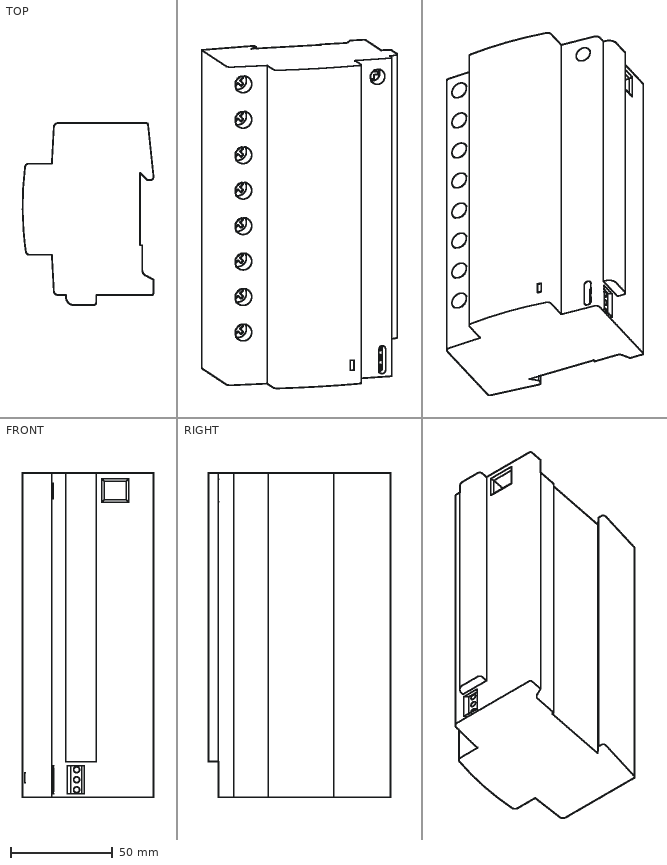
import cadquery as cq
import math


HEIGHT = 160.2
DEPTH = 64.7
SIDE_TOP_Y = 85.0

COVER_LOW_Y = 19.9
COVER_HIGH_Y = 65.0
COVER_CREST_Y = 43.9
COVER_RADIUS = 157.0
COVER_FILLET = 2.1

SHOULDER_X = 14.5
SHOULDER_WIDTH = 2.2
WALL_OUTER_X = 15.5
WALL_FILLET = 2.2

BACK_TOP_X = 62.0
BACK_FILLET = 1.0
HOOK_WIDEST_Y = 59.3
HOOK_TIP_Y = 56.9
HOOK_TIP_X = 61.5
HOOK_FILLET = 1.3
SEAT_X = 58.2
SEAT_TOP_Y = 60.4
SEAT_STEP_X = 59.3
SEAT_STEP_Y = 24.7
FOOT_LEDGE_X = 61.2
FOOT_LEDGE_Y = 9.6
FOOT_TOP_Y = 7.7
FOOT_CURVE_Y = 12.2

RIB_FRONT_X = 21.5
RIB_BACK_X = 36.5
RIB_OUTER_Y = -5.0
RIB_BOTTOM_Z = 17.6
RIB_FRONT_FILLET = 4.0
RIB_BACK_FILLET = 1.6
RIB_OVERLAP = 1.6

SCREW_HOLE_DIAMETER = 8.3
SCREW_HOLE_DEPTH = 9.6
SCREW_TOP_Z = 151.2
SCREW_ROW_SPAN = 125.0
SCREW_ROW_COUNT = 8
SCREW_ROW_Y = 77.0
SINGLE_SCREW_Y = 8.0
SINGLE_SCREW_HOLE_DIAMETER = 7.5
CROSS_LENGTH = 6.0
CROSS_WIDTH = 1.6
CROSS_DEPTH = 1.0

POLE_PITCH = 5.0
POLE_MIDDLE_Z = 8.7
SIGNAL_SLOT_Y = 5.6
SIGNAL_SLOT_LENGTH = 14.0
SIGNAL_SLOT_WIDTH = 3.5
SIGNAL_SLOT_DEPTH = 6.4
SIGNAL_HEAD_DIAMETER = 3.2
SIGNAL_HEAD_DEPTH = 0.6
SIGNAL_CROSS_LENGTH = 2.9
SIGNAL_CROSS_WIDTH = 1.0
POCKET_FRONT_X = 22.1
POCKET_BACK_X = 30.6
POCKET_FLOOR_FRONT_X = 23.9
POCKET_FLOOR_BACK_X = 29.3
POCKET_DEPTH = 1.6
POCKET_HEIGHT = 13.8
WIRE_HOLE_X = 26.8
WIRE_HOLE_DIAMETER = 2.9
WIRE_HOLE_DEPTH = 3.2

OPENING_CENTER_X = 45.8
OPENING_CENTER_Z = 151.5
OPENING_WIDTH = 11.0
OPENING_HEIGHT = 9.3
OPENING_DEPTH = 12.8
OPENING_CHAMFER = 1.1

INDICATOR_Y = 25.2
INDICATOR_Z = 9.6
INDICATOR_WIDTH = 2.0
INDICATOR_HEIGHT = 5.0
INDICATOR_DEPTH = 0.5


def cover_x(y):
    """X of the curved cover surface at a given Y."""
    return COVER_RADIUS - math.sqrt(COVER_RADIUS**2 - (y - COVER_CREST_Y) ** 2)


def round_upright_edges(body, rounds):
    """Round the upright edge through each (x, y) with its own radius."""
    middle_z = body.val().BoundingBox().center.z
    for x, y, radius in rounds:
        edge = cq.selectors.NearestToPointSelector((x, y, middle_z))
        body = body.edges("|Z").edges(edge).fillet(radius)
    return body


def housing():
    low_corner = (cover_x(COVER_LOW_Y), COVER_LOW_Y)
    high_corner = (cover_x(COVER_HIGH_Y), COVER_HIGH_Y)
    body = (
        cq.Workplane("XY")
        .moveTo(*low_corner)
        .threePointArc((0, COVER_CREST_Y), high_corner)
        .lineTo(SHOULDER_X, COVER_HIGH_Y)
        .lineTo(SHOULDER_X, COVER_HIGH_Y + SHOULDER_WIDTH)
        .lineTo(WALL_OUTER_X, SIDE_TOP_Y)
        .lineTo(BACK_TOP_X, SIDE_TOP_Y)
        .lineTo(DEPTH, HOOK_WIDEST_Y)
        .lineTo(DEPTH, HOOK_TIP_Y)
        .lineTo(HOOK_TIP_X, HOOK_TIP_Y)
        .lineTo(SEAT_X, SEAT_TOP_Y)
        .lineTo(SEAT_X, SEAT_STEP_Y)
        .lineTo(SEAT_STEP_X, SEAT_STEP_Y)
        .lineTo(SEAT_STEP_X, FOOT_CURVE_Y)
        .tangentArcPoint((FOOT_LEDGE_X, FOOT_LEDGE_Y), relative=False)
        .lineTo(DEPTH, FOOT_TOP_Y)
        .lineTo(DEPTH, 0)
        .lineTo(WALL_OUTER_X, 0)
        .lineTo(SHOULDER_X, COVER_LOW_Y - SHOULDER_WIDTH)
        .lineTo(SHOULDER_X, COVER_LOW_Y)
        .close()
        .extrude(HEIGHT)
    )
    return round_upright_edges(
        body,
        [
            (*low_corner, COVER_FILLET),
            (*high_corner, COVER_FILLET),
            (WALL_OUTER_X, SIDE_TOP_Y, WALL_FILLET),
            (WALL_OUTER_X, 0, WALL_FILLET),
            (BACK_TOP_X, SIDE_TOP_Y, BACK_FILLET),
            (DEPTH, HOOK_TIP_Y, HOOK_FILLET),
            (DEPTH, 0, BACK_FILLET),
        ],
    )


def rib():
    body = cq.Workplane("XY").box(
        RIB_BACK_X - RIB_FRONT_X, RIB_OVERLAP - RIB_OUTER_Y, HEIGHT - RIB_BOTTOM_Z, centered=False
    )
    body = body.translate((RIB_FRONT_X, RIB_OUTER_Y, RIB_BOTTOM_Z))
    return round_upright_edges(
        body,
        [
            (RIB_FRONT_X, RIB_OUTER_Y, RIB_FRONT_FILLET),
            (RIB_BACK_X, RIB_OUTER_Y, RIB_BACK_FILLET),
        ],
    )


def cross_recess(x, y, z, length, width, angle=0):
    """Cross-shaped cut going in +X from the floor at x."""
    arm = cq.Workplane("XY").box(CROSS_DEPTH, length, width)
    cross = arm.union(arm.rotate((0, 0, 0), (1, 0, 0), 90))
    cross = cross.rotate((0, 0, 0), (1, 0, 0), angle)
    return cross.translate((x + CROSS_DEPTH / 2, y, z))


def round_hole(x, y, z, diameter, depth):
    """Round cut running in +X, starting at x."""
    return cq.Workplane("YZ", origin=(x, y, z)).circle(diameter / 2).extrude(depth)


def screw_recess(y, z, diameter, cross_angle):
    floor_x = SHOULDER_X + SCREW_HOLE_DEPTH
    hole = round_hole(SHOULDER_X, y, z, diameter, SCREW_HOLE_DEPTH)
    return hole.union(cross_recess(floor_x, y, z, CROSS_LENGTH, CROSS_WIDTH, cross_angle))


def signal_screw_slot():
    slot = (
        cq.Workplane("YZ", origin=(SHOULDER_X, SIGNAL_SLOT_Y, POLE_MIDDLE_Z))
        .slot2D(SIGNAL_SLOT_LENGTH, SIGNAL_SLOT_WIDTH, 90)
        .extrude(SIGNAL_SLOT_DEPTH)
    )
    head_x = SHOULDER_X + SIGNAL_SLOT_DEPTH
    cross_x = head_x + SIGNAL_HEAD_DEPTH
    for pole in (-1, 0, 1):
        z = POLE_MIDDLE_Z + pole * POLE_PITCH
        head = round_hole(head_x, SIGNAL_SLOT_Y, z, SIGNAL_HEAD_DIAMETER, SIGNAL_HEAD_DEPTH)
        cross = cross_recess(cross_x, SIGNAL_SLOT_Y, z, SIGNAL_CROSS_LENGTH, SIGNAL_CROSS_WIDTH)
        slot = slot.union(head).union(cross)
    return slot


def wire_pocket():
    pocket = (
        cq.Workplane("XY", origin=(0, 0, POLE_MIDDLE_Z - POCKET_HEIGHT / 2))
        .moveTo(POCKET_FRONT_X, 0)
        .lineTo(POCKET_FLOOR_FRONT_X, POCKET_DEPTH)
        .lineTo(POCKET_FLOOR_BACK_X, POCKET_DEPTH)
        .lineTo(POCKET_BACK_X, 0)
        .close()
        .extrude(POCKET_HEIGHT)
    )
    for pole in (-1, 0, 1):
        z = POLE_MIDDLE_Z + pole * POLE_PITCH
        plane = cq.Workplane("XZ", origin=(WIRE_HOLE_X, POCKET_DEPTH, z))
        pocket = pocket.union(plane.circle(WIRE_HOLE_DIAMETER / 2).extrude(-WIRE_HOLE_DEPTH))
    return pocket


def side_opening():
    center = (OPENING_CENTER_X, 0, OPENING_CENTER_Z)
    well = cq.Workplane("XZ", origin=center).rect(OPENING_WIDTH, OPENING_HEIGHT).extrude(-OPENING_DEPTH)
    mouth = (
        cq.Workplane("XZ", origin=center)
        .rect(OPENING_WIDTH + 2 * OPENING_CHAMFER, OPENING_HEIGHT + 2 * OPENING_CHAMFER)
        .workplane(offset=-OPENING_CHAMFER)
        .rect(OPENING_WIDTH, OPENING_HEIGHT)
        .loft(ruled=True)
    )
    return well.union(mouth)


def indicator_recess():
    floor_x = cover_x(INDICATOR_Y) + INDICATOR_DEPTH
    block = cq.Workplane("XY").box(floor_x, INDICATOR_WIDTH, INDICATOR_HEIGHT)
    return block.translate((floor_x / 2, INDICATOR_Y, INDICATOR_Z))


result = housing().union(rib())

screw_pitch = SCREW_ROW_SPAN / (SCREW_ROW_COUNT - 1)
for index in range(SCREW_ROW_COUNT):
    screw_z = SCREW_TOP_Z - index * screw_pitch
    result = result.cut(screw_recess(SCREW_ROW_Y, screw_z, SCREW_HOLE_DIAMETER, cross_angle=45))
single_screw = screw_recess(SINGLE_SCREW_Y, SCREW_TOP_Z, SINGLE_SCREW_HOLE_DIAMETER, cross_angle=0)
result = result.cut(single_screw)

result = result.cut(signal_screw_slot())
result = result.cut(wire_pocket())
result = result.cut(side_opening())
result = result.cut(indicator_recess())